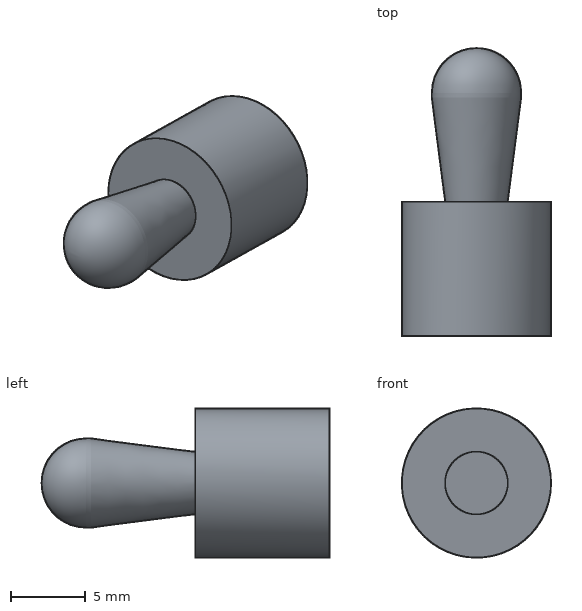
import cadquery as cq

total_length = 19.28
sleeve_diameter = 10.0
sleeve_length = 9.0
ball_diameter = 6.0
shank_diameter = 4.2
band_length = 0.33

sleeve_radius = sleeve_diameter / 2
ball_radius = ball_diameter / 2
shank_radius = shank_diameter / 2
dome_start = total_length - ball_radius
band_start = dome_start - band_length


def make_sleeve():
    """Plain round sleeve with a through bore that fits the pin shank."""
    return (
        cq.Workplane("XZ")
        .circle(sleeve_radius)
        .circle(shank_radius)
        .extrude(-sleeve_length)
    )


def make_pin():
    """Pin with a straight shank, a flaring neck, a short band and a domed end."""
    dome_mid = (ball_radius * 0.5**0.5, dome_start + ball_radius * 0.5**0.5)
    half_profile = (
        cq.Workplane("XY")
        .lineTo(shank_radius, 0)
        .lineTo(shank_radius, sleeve_length)
        .lineTo(ball_radius, band_start)
        .lineTo(ball_radius, dome_start)
        .threePointArc(dome_mid, (0, total_length))
        .close()
    )
    return half_profile.revolve(360, (0, 0, 0), (0, 1, 0))


sleeve = make_sleeve()
pin = make_pin()

result = cq.Compound.makeCompound([sleeve.val(), pin.val()])